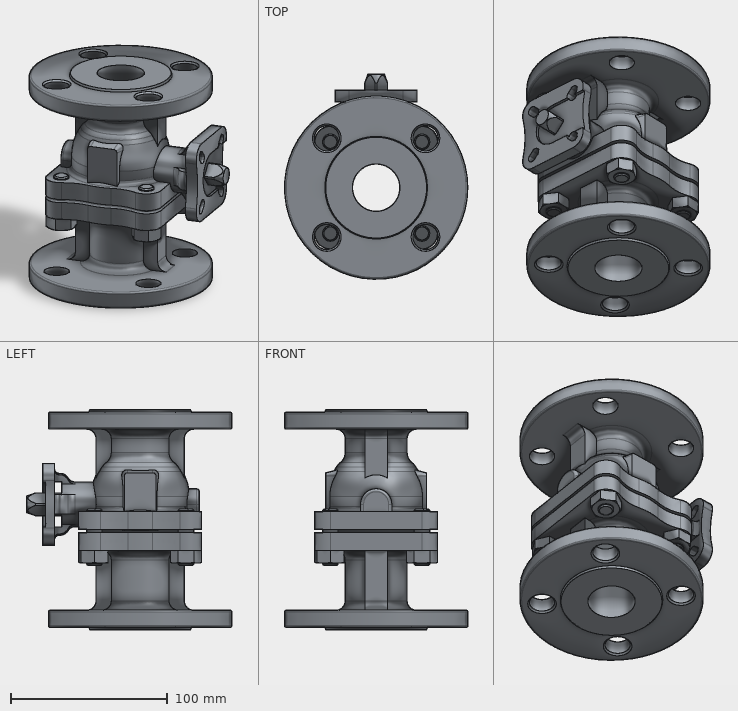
import cadquery as cq
import math


LENGTH = 140.5
BORE_D = 30.0
STEM_Z = 80.1

FLANGE_D = 117.0
FLANGE_T = 11.0
FLANGE_EDGE = 1.1
FACE_D = 65.5
FACE_T = 1.5
FACE_SLOPE = 0.5
FLANGE_HOLE_D = 16.0
FLANGE_HOLE_CHAMFER = 1.1
FLANGE_HOLE_OFFSET = 31.5
LOWER_FLANGE_TOP = FACE_T + FLANGE_T
UPPER_FLANGE_BOTTOM = LENGTH - LOWER_FLANGE_TOP

NECK_R = 19.8
NECK_FILLET = 5.9
RIB_WIDTH = 14.5
RIB_REACH = 28.2

PLATE_T = 11.4
JOINT_GAP = 2.1
LOWER_PLATE_Z = 50.6
UPPER_PLATE_Z = LOWER_PLATE_Z + PLATE_T + JOINT_GAP
UPPER_PLATE_TOP = UPPER_PLATE_Z + PLATE_T
UPPER_SPIGOT_R = 29.5
LOWER_SPIGOT_R = 30.9
BOLT_OFFSET = 29.2
BOLT_D = 10.0
BOLT_PROUD = 1.5
BOLT_CHAMFER = 0.8
PLATE_CORNER_R = 10.0
PLATE_BULGE_R = 37.7
PLATE_BULGE_HALF = 7.9
NUT_D = 20.0
NUT_T = 8.0
NUT_CHAMFER = 1.1

BALL_R = 31.5
BALL_Z = 85.0
BODY_FILLET = 3.1
CONE_Z = 101.2
CONE_TOP = 103.8
SHOULDER_MIDDLE = 106.6
SHOULDER_TOP = 113.1
SHOULDER_ANGLE = 51.5

LUG_REACH = 32.2
LUG_HALF_WIDTH = 10.1
LUG_TOP = 100.2
LUG_CORNER = 2.1
LUG_DRAFT = 15.0
LUG_DEPTH = 11.2

PAD_R = 10.0
PAD_REACH = 37.8
PAD_EDGE = 2.0

HOUSING_R = 14.3
HOUSING_END = 50.2
MOUNT_Y = 54.7
MOUNT_T = 7.6
MOUNT_END = MOUNT_Y + MOUNT_T
MOUNT_HALF = 26.1
MOUNT_CORNER_R = 8.9
MOUNT_WAIST_R = 63.2
RECESS_DEPTH = 2.0
SLOT_INNER = 15.3
SLOT_OUTER = 17.8
SLOT_WIDTH = 6.2

LEG_WIDTH = 12.4
LEG_R = 19.8
LEG_FILLET = 3.0
LEG_SHOULDER_Y = 51.1
LEG_ROOT_Y = 41.7
LEG_CONVEX_SHARE = 0.54

STEM_R = 7.3
STEM_END = 72.43
STEM_FLATS = 11.2
STEM_TIP_R = 5.3
STEM_TIP_LENGTH = 5.6


def blend_points(wide, narrow, start, end, convex_share):
    """Radius/height points of an S-curve that leaves `wide` and meets `narrow` along the axis.

    Returns the middle and end of the convex arc, then the middle and end of the concave arc.
    """
    drop = wide - narrow
    run = abs(end - start)
    way = math.copysign(1, end - start)
    sweep = 2 * math.atan2(drop, run)
    radius = run / math.sin(sweep)
    convex = radius * convex_share
    concave = radius - convex

    def on_convex(angle):
        return wide - convex * (1 - math.cos(angle)), start + way * convex * math.sin(angle)

    def on_concave(angle):
        return narrow + concave * (1 - math.cos(angle)), end - way * concave * math.sin(angle)

    return on_convex(sweep / 2), on_convex(sweep), on_concave(sweep / 2), (narrow, end)


def cylinder(radius, z_bottom, z_top):
    return cq.Workplane("XY").workplane(offset=z_bottom).circle(radius).extrude(z_top - z_bottom)


def stem_plane(y):
    """Plane across the stem axis, facing +Y."""
    return cq.Plane(origin=(0, y, STEM_Z), xDir=(1, 0, 0), normal=(0, 1, 0))


def stem_cylinder(radius, y_start, y_end):
    return cq.Workplane(stem_plane(y_start)).circle(radius).extrude(y_end - y_start)


def flange_hole_points():
    return [(x, y) for x in (-FLANGE_HOLE_OFFSET, FLANGE_HOLE_OFFSET)
            for y in (-FLANGE_HOLE_OFFSET, FLANGE_HOLE_OFFSET)]


def upper_flange():
    """Flange with its raised face upward."""
    flange = cylinder(FLANGE_D / 2, UPPER_FLANGE_BOTTOM, LENGTH - FACE_T).edges().fillet(FLANGE_EDGE)
    flange = (flange.faces(">Z").workplane(origin=(0, 0, 0)).pushPoints(flange_hole_points())
              .cskHole(FLANGE_HOLE_D, FLANGE_HOLE_D + 2 * FLANGE_HOLE_CHAMFER, 90))
    face = (cq.Workplane("XZ")
            .moveTo(0, LENGTH - FACE_T)
            .lineTo(FACE_D / 2, LENGTH - FACE_T)
            .lineTo(FACE_D / 2 - FACE_SLOPE, LENGTH)
            .lineTo(0, LENGTH)
            .close()
            .revolve(360, (0, 0, 0), (0, 1, 0)))
    return flange.union(face)


def flange_pair():
    upper = upper_flange()
    return upper.union(upper.mirror("XY", (0, 0, LENGTH / 2)))


def lower_neck():
    """Pipe from the lower flange to the lower plate, filleted at both ends."""
    flared = NECK_R + NECK_FILLET
    lower_z = LOWER_FLANGE_TOP + NECK_FILLET
    upper_z = LOWER_PLATE_Z - NECK_FILLET
    profile = (
        cq.Workplane("XZ")
        .moveTo(0, LOWER_FLANGE_TOP)
        .lineTo(flared, LOWER_FLANGE_TOP)
        .radiusArc((NECK_R, lower_z), NECK_FILLET)
        .lineTo(NECK_R, upper_z)
        .radiusArc((flared, LOWER_PLATE_Z), NECK_FILLET)
        .lineTo(0, LOWER_PLATE_Z)
        .close()
    )
    return profile.revolve(360, (0, 0, 0), (0, 1, 0))


def ball_housing():
    """Spherical body, tangent cone, shoulder and upper neck."""
    ball_angle = math.asin((CONE_Z - BALL_Z) / BALL_R)
    ball_middle = (BALL_R * math.cos(ball_angle / 2), BALL_Z + BALL_R * math.sin(ball_angle / 2))
    cone_r = BALL_R * math.cos(ball_angle)
    cone_top_r = cone_r - (CONE_TOP - CONE_Z) * math.tan(ball_angle)
    shoulder_run = SHOULDER_TOP - SHOULDER_MIDDLE
    shoulder_angle = math.radians(SHOULDER_ANGLE)
    shoulder_r = NECK_R + shoulder_run * math.tan(shoulder_angle / 2)
    profile = (
        cq.Workplane("XZ")
        .moveTo(0, UPPER_PLATE_TOP)
        .lineTo(BALL_R + BODY_FILLET, UPPER_PLATE_TOP)
        .radiusArc((BALL_R, UPPER_PLATE_TOP + BODY_FILLET), BODY_FILLET)
        .lineTo(BALL_R, BALL_Z)
        .threePointArc(ball_middle, (cone_r, CONE_Z))
        .lineTo(cone_top_r, CONE_TOP)
        .tangentArcPoint((shoulder_r, SHOULDER_MIDDLE), relative=False)
        .radiusArc((NECK_R, SHOULDER_TOP), shoulder_run / math.sin(shoulder_angle))
        .lineTo(NECK_R, UPPER_FLANGE_BOTTOM - NECK_FILLET)
        .radiusArc((NECK_R + NECK_FILLET, UPPER_FLANGE_BOTTOM), NECK_FILLET)
        .lineTo(0, UPPER_FLANGE_BOTTOM)
        .close()
    )
    return profile.revolve(360, (0, 0, 0), (0, 1, 0))


def rib_web(foot_z, end_z):
    """Flat web across Y, flared where it stands on a flange at foot_z."""
    way = math.copysign(1, end_z - foot_z)
    flared = RIB_REACH + NECK_FILLET
    flare_z = foot_z + way * NECK_FILLET
    profile = (
        cq.Workplane("YZ")
        .moveTo(-flared, foot_z)
        .lineTo(flared, foot_z)
        .radiusArc((RIB_REACH, flare_z), way * NECK_FILLET)
        .lineTo(RIB_REACH, end_z)
        .lineTo(-RIB_REACH, end_z)
        .lineTo(-RIB_REACH, flare_z)
        .radiusArc((-flared, foot_z), way * NECK_FILLET)
        .close()
    )
    return profile.extrude(RIB_WIDTH / 2, both=True)


def joint_plate(z_bottom):
    """Plate with straight front and back and wavy sides around four round corners."""
    bulge_angle = math.asin(PLATE_BULGE_HALF / PLATE_BULGE_R)
    ux, uy = math.cos(bulge_angle), math.sin(bulge_angle)
    slack = PLATE_BULGE_R - PLATE_CORNER_R
    hollow_d = ((2 * BOLT_OFFSET ** 2 - slack ** 2)
                / (2 * (BOLT_OFFSET * (ux + uy) - slack)))
    hollow_r = hollow_d - PLATE_BULGE_R
    hollow_x, hollow_y = hollow_d * ux, hollow_d * uy
    share = PLATE_CORNER_R / (PLATE_CORNER_R + hollow_r)
    touch_x = BOLT_OFFSET + (hollow_x - BOLT_OFFSET) * share
    touch_y = BOLT_OFFSET + (hollow_y - BOLT_OFFSET) * share
    bulge_x, bulge_y = PLATE_BULGE_R * ux, PLATE_BULGE_R * uy
    edge_y = BOLT_OFFSET + PLATE_CORNER_R
    outline = (
        cq.Workplane("XY").workplane(offset=z_bottom)
        .moveTo(-BOLT_OFFSET, -edge_y)
        .lineTo(BOLT_OFFSET, -edge_y)
        .radiusArc((touch_x, -touch_y), -PLATE_CORNER_R)
        .radiusArc((bulge_x, -bulge_y), hollow_r)
        .radiusArc((bulge_x, bulge_y), -PLATE_BULGE_R)
        .radiusArc((touch_x, touch_y), hollow_r)
        .radiusArc((BOLT_OFFSET, edge_y), -PLATE_CORNER_R)
        .lineTo(-BOLT_OFFSET, edge_y)
        .radiusArc((-touch_x, touch_y), -PLATE_CORNER_R)
        .radiusArc((-bulge_x, bulge_y), hollow_r)
        .radiusArc((-bulge_x, -bulge_y), -PLATE_BULGE_R)
        .radiusArc((-touch_x, -touch_y), hollow_r)
        .radiusArc((-BOLT_OFFSET, -edge_y), -PLATE_CORNER_R)
        .close()
    )
    return outline.extrude(PLATE_T)


def joint_bolt():
    """Bolt and hexagon nut on the flow axis, with nut corners along Y."""
    nut_bottom = LOWER_PLATE_Z - NUT_T
    bolt = cylinder(BOLT_D / 2, nut_bottom - BOLT_PROUD, UPPER_PLATE_TOP + BOLT_PROUD)
    bolt = bolt.edges().chamfer(BOLT_CHAMFER)
    nut = (cq.Workplane("XY").workplane(offset=nut_bottom)
           .polygon(6, NUT_D).extrude(NUT_T)
           .rotate((0, 0, 0), (0, 0, 1), 90))
    rounding = (cylinder(NUT_D / 2, nut_bottom, LOWER_PLATE_Z)
                .faces("<Z").edges().chamfer(NUT_CHAMFER / 2, NUT_CHAMFER))
    return bolt.union(nut.intersect(rounding))


def joint():
    """Both plates, the stepped spigot in the gap between them and four bolts."""
    assembly = cylinder(UPPER_SPIGOT_R, LOWER_PLATE_Z, UPPER_PLATE_TOP)
    assembly = assembly.union(cylinder(LOWER_SPIGOT_R, LOWER_PLATE_Z, UPPER_PLATE_Z - JOINT_GAP / 2))
    assembly = assembly.union(joint_plate(LOWER_PLATE_Z)).union(joint_plate(UPPER_PLATE_Z))
    bolt = joint_bolt().translate((-BOLT_OFFSET, -BOLT_OFFSET, 0))
    for quarter in range(4):
        assembly = assembly.union(bolt.rotate((0, 0, 0), (0, 0, 1), 90 * quarter))
    return assembly


def side_lug():
    """Drafted rectangular lug on the +X side."""
    height = LUG_TOP - UPPER_PLATE_Z
    face = (cq.Sketch().rect(2 * LUG_HALF_WIDTH, height).vertices(">Y").fillet(LUG_CORNER))
    plane = cq.Plane(origin=(LUG_REACH, 0, UPPER_PLATE_Z + height / 2), xDir=(0, -1, 0), normal=(-1, 0, 0))
    return cq.Workplane(plane).placeSketch(face).extrude(LUG_DEPTH, taper=-LUG_DRAFT)


def front_pad():
    """Round-topped pad on the -Y side."""
    pad = (
        cq.Workplane("XZ")
        .moveTo(-PAD_R, UPPER_PLATE_Z)
        .lineTo(-PAD_R, STEM_Z)
        .threePointArc((0, STEM_Z + PAD_R), (PAD_R, STEM_Z))
        .lineTo(PAD_R, UPPER_PLATE_Z)
        .close()
        .extrude(PAD_REACH)
    )
    return pad.faces("<Y").edges("not <Z").fillet(PAD_EDGE)


def mounting_plate():
    """Actuator plate with waisted sides, four diagonal slots and a recess open on the -X side."""
    corner = MOUNT_HALF - MOUNT_CORNER_R
    waist_angle = math.asin(corner / (MOUNT_CORNER_R + MOUNT_WAIST_R))
    touch_x = corner + MOUNT_CORNER_R * math.cos(waist_angle)
    touch_z = corner - MOUNT_CORNER_R * math.sin(waist_angle)
    plate = (
        cq.Workplane(stem_plane(MOUNT_Y))
        .moveTo(-corner, -MOUNT_HALF)
        .lineTo(corner, -MOUNT_HALF)
        .radiusArc((touch_x, -touch_z), -MOUNT_CORNER_R)
        .radiusArc((touch_x, touch_z), MOUNT_WAIST_R)
        .radiusArc((corner, MOUNT_HALF), -MOUNT_CORNER_R)
        .lineTo(-corner, MOUNT_HALF)
        .radiusArc((-touch_x, touch_z), -MOUNT_CORNER_R)
        .radiusArc((-touch_x, -touch_z), MOUNT_WAIST_R)
        .radiusArc((-corner, -MOUNT_HALF), -MOUNT_CORNER_R)
        .close()
        .extrude(MOUNT_T)
    )
    floor = MOUNT_END - RECESS_DEPTH
    plate = plate.cut(stem_cylinder(HOUSING_R, floor, MOUNT_END))
    plate = plate.cut(
        cq.Workplane(stem_plane(floor)).center(-MOUNT_HALF / 2, 0)
        .rect(MOUNT_HALF, 2 * HOUSING_R).extrude(RECESS_DEPTH))
    slot_length = (SLOT_OUTER - SLOT_INNER) * math.sqrt(2) + SLOT_WIDTH
    slot_offset = (SLOT_INNER + SLOT_OUTER) / 2
    for side in (-1, 1):
        slots = (cq.Workplane(stem_plane(MOUNT_Y))
                 .pushPoints([(slot_offset, side * slot_offset), (-slot_offset, -side * slot_offset)])
                 .slot2D(slot_length, SLOT_WIDTH, 45 * side).extrude(MOUNT_T))
        plate = plate.cut(slots)
    return plate


def mounting_legs():
    """Four curved legs, made from one turned shape and a cross of bars, with a square gap inside."""
    convex_mid, convex_end, concave_mid, concave_end = blend_points(
        LEG_R, HOUSING_R, LEG_SHOULDER_Y, LEG_ROOT_Y, LEG_CONVEX_SHARE)
    shape = (
        cq.Workplane("XY", origin=(0, 0, STEM_Z))
        .moveTo(0, MOUNT_Y)
        .lineTo(LEG_R + LEG_FILLET, MOUNT_Y)
        .radiusArc((LEG_R, MOUNT_Y - LEG_FILLET), -LEG_FILLET)
        .lineTo(LEG_R, LEG_SHOULDER_Y)
        .threePointArc(convex_mid, convex_end)
        .threePointArc(concave_mid, concave_end)
        .lineTo(0, LEG_ROOT_Y)
        .close()
        .revolve(360, (0, 0, 0), (0, 1, 0))
    )
    bar_length = 2 * MOUNT_HALF
    bar_depth = MOUNT_Y - LEG_ROOT_Y
    base = cq.Workplane(stem_plane(LEG_ROOT_Y))
    cross = (base.rect(bar_length, LEG_WIDTH).extrude(bar_depth)
             .union(base.rect(LEG_WIDTH, bar_length).extrude(bar_depth)))
    gap = (cq.Workplane(stem_plane(HOUSING_END))
           .rect(2 * HOUSING_R, 2 * HOUSING_R).extrude(MOUNT_Y - HOUSING_END))
    return shape.intersect(cross).cut(gap)


def stem():
    """Round stem with a square, coned drive end beyond the recess floor."""
    square_start = MOUNT_END - RECESS_DEPTH
    drive = stem_cylinder(STEM_R, square_start, STEM_END)
    drive = drive.faces(">Y").edges().chamfer(STEM_TIP_LENGTH, STEM_R - STEM_TIP_R)
    square = (cq.Workplane(stem_plane(square_start)).transformed(rotate=(0, 0, 45))
              .rect(STEM_FLATS, STEM_FLATS).extrude(STEM_END - square_start))
    return drive.intersect(square).union(stem_cylinder(STEM_R, 0, square_start))


lug = side_lug()

result = flange_pair()
result = result.union(lower_neck())
result = result.union(joint())
result = result.union(ball_housing())
result = result.union(rib_web(LOWER_FLANGE_TOP, LOWER_PLATE_Z))
result = result.union(rib_web(UPPER_FLANGE_BOTTOM, BALL_Z))
result = result.union(lug).union(lug.mirror("YZ"))
result = result.union(front_pad())
result = result.union(stem_cylinder(HOUSING_R, 0, HOUSING_END))
result = result.union(mounting_legs())
result = result.union(mounting_plate())
result = result.union(stem())
result = result.cut(cylinder(BORE_D / 2, 0, LENGTH))